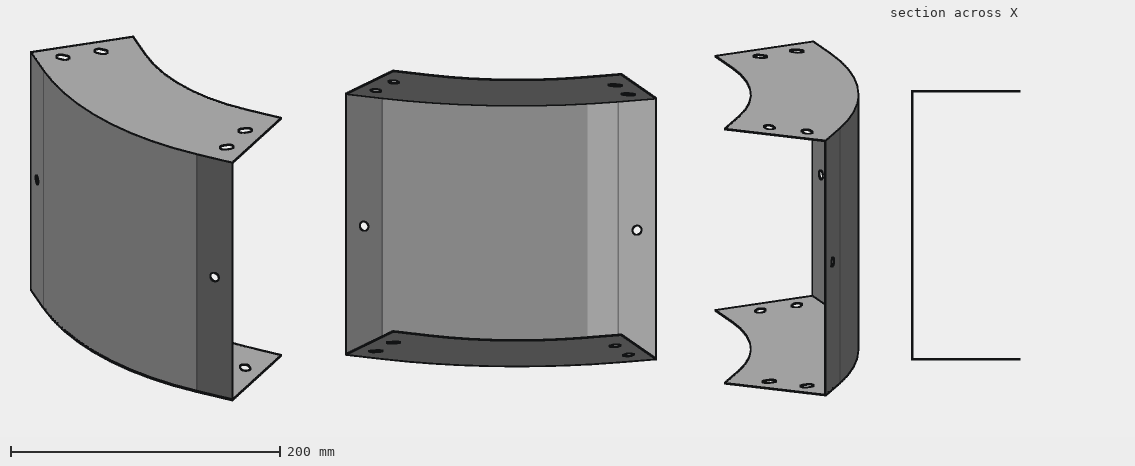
import cadquery as cq
import math

bend_angle = 45.0
outer_radius = 229.7
straight_length = 29.9
flange_width = 80.0
height = 200.0
sheet = 0.8

hole_diameter = 7.0
slot_length = 10.5
hole_inset = 15.0
slot_offsets = (20.3, 50.2)
slot_tilt = 45.0

angle = math.radians(bend_angle)


def bend_point(radius, turn):
    """Point on an arc about the bend centre, turned from the first end of the bend."""
    return (straight_length + radius * math.sin(turn), outer_radius - radius * math.cos(turn))


def far_end_point(inset, offset):
    """Point given by its inset from the far end edge and its offset from the outer edge."""
    x, y = bend_point(outer_radius - offset, angle)
    run = straight_length - inset
    return (x + run * math.cos(angle), y + run * math.sin(angle))


def bend_strip(outer_offset, inner_offset, thickness, base):
    """Strip following the bend between two offsets from the outer edge."""
    outer = outer_radius - outer_offset
    inner = outer_radius - inner_offset
    return (
        cq.Workplane("XY", origin=(0, 0, base))
        .moveTo(0, outer_offset)
        .lineTo(straight_length, outer_offset)
        .threePointArc(bend_point(outer, angle / 2), bend_point(outer, angle))
        .lineTo(*far_end_point(0, outer_offset))
        .lineTo(*far_end_point(0, inner_offset))
        .lineTo(*bend_point(inner, angle))
        .threePointArc(bend_point(inner, angle / 2), bend_point(inner, 0))
        .lineTo(0, inner_offset)
        .close()
        .extrude(thickness)
    )


def flange_slots(base, tilt):
    """Pairs of tilted slots at both ends of the flange that starts at the given height."""
    plane = cq.Workplane("XY", origin=(0, 0, base))
    near_centres = [(hole_inset, offset) for offset in slot_offsets]
    far_centres = [far_end_point(hole_inset, offset) for offset in slot_offsets]
    near = plane.pushPoints(near_centres).slot2D(slot_length, hole_diameter, tilt).extrude(sheet)
    far = plane.pushPoints(far_centres).slot2D(slot_length, hole_diameter, tilt + bend_angle).extrude(sheet)
    return near.union(far)


def wall_hole(x, y, turn):
    """Round hole through the wall, square to the wall at the given turn."""
    axis = cq.Vector(-math.sin(turn), math.cos(turn), 0)
    drill_length = 3 * sheet
    start = cq.Vector(x, y, height / 2) - axis * sheet
    return cq.Workplane(cq.Solid.makeCylinder(hole_diameter / 2, drill_length, start, axis))


top_base = height - sheet
wall = bend_strip(0, sheet, height, 0)
bottom_flange = bend_strip(0, flange_width, sheet, 0)
top_flange = bend_strip(0, flange_width, sheet, top_base)

result = (
    wall.union(bottom_flange)
    .union(top_flange)
    .cut(flange_slots(top_base, slot_tilt))
    .cut(flange_slots(0, -slot_tilt))
    .cut(wall_hole(hole_inset, 0, 0))
    .cut(wall_hole(*far_end_point(hole_inset, 0), angle))
)